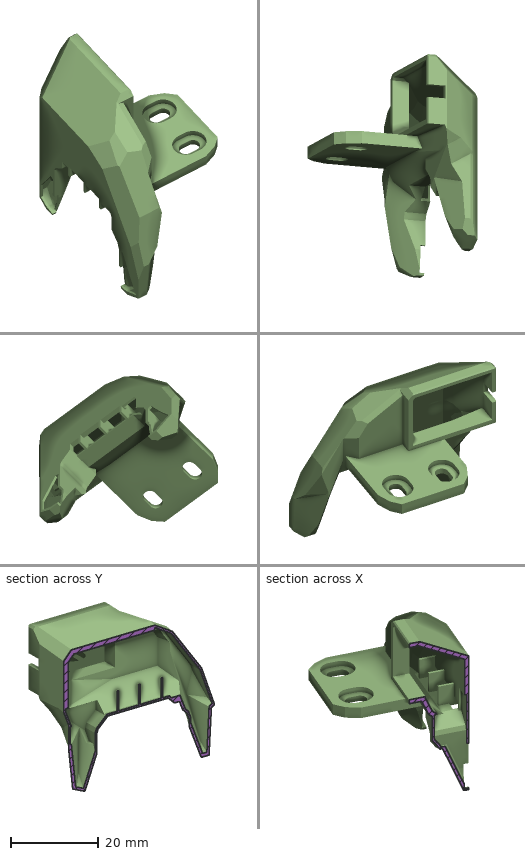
import cadquery as cq


width = 46.1
height = 42.82
block_right = 22.9
block_depth = 14.72
block_floor = 26.45
trunk_depth = 11.9
legs_center = 25.25
leg_depth = 9.12
leg_left = 4.17
trunk_floor = 19.3
hip_bottom = 12.5
rear_chamfer = 0.3
block_wall = 1.2
leg_wall = 0.6

thigh_top = 23.0
calf_top_right = 20.0
arm_start = 28.0
trunk_right = 40.0

flange_left = 13.5
flange_right = 36.45
flange_front = 9.66
flange_rear = 31.1
flange_bottom = 23.65
flange_top = 26.5

slot_centers_x = (18.97, 30.9)
slot_center_y = 24.75
slot_width = 3.2
slot_length = 5.2
seat_width = 6.3
seat_length = 8.2
seat_depth = 1.4

notch_bottom = 32.65
notch_top = 35.6
notch_front = 10.4

floor_rear = 6.4
underside_rear = 11.1
lip_front = 2.4
window_top = 21.7
window_bottom = 18.0
corner_bottom = 16.6
window_left = 15.35
window_right = 35.3
bay_top = 22.4
rib_starts = (17.9, 24.0, 30.3)
rib_thickness = 0.6
rib_depth = 5.0
rib_top = 25.0

relief_top = 6.9
relief_bottom = 0.6
relief_depth = 1.2

CUTTER = 200.0
MARGIN = 5.0


left_wall_top = (0, 12.7, 42.2)
roof_left = (0.6, 12.7, height)
roof_right = (21.5, 10.3, height)
left_rear = (0, 10.03, 39.45)
left_front = (4.1, 2.11, 35.05)
face_left = (6.3, 0, 35.05)
roof_front_left = (7.47, 0, 36.26)
roof_rear_left = (1.39, 12.1, height)
roof_front_right = (25.9, 0, 36.26)
shoulder_front = (31.6, 0, 33.7)
shoulder_mid = (34.1, 3.0, 35.1)
shoulder_top = (28.93, 3.9, 38.3)
shoulder_peak = (28.1, 5.9, 39.46)
shoulder_back = (33.1, 6.1, 36.65)
roof_end = (22.6, 10.3, 41.8)
elbow_front = (42.97, 0, 17.4)
elbow_mid = (41.86, 3.05, 24.35)
elbow_low = (44.04, 1.5, 18.1)
tip_front = (46.1, 0, 9.0)
ridge_left = (23.2, 10.4, 41.45)
ridge_right = (32.8, 10.4, 36.13)
back_right = (32.2, trunk_depth, 35.83)
arm_ridge = (33.76, 9.5, 35.6)
arm_heel = (36.75, 9.2, 31.5)
elbow_rear = (41.86, 8.6, 24.35)
hip_top = (0, 10.03, 25.6)
hip_front = (2.26, 5.65, 24.3)
hip_rear = (2.2, 8.97, 22.4)
hip_low = (leg_left, 2.1, 21.45)
knee_rear = (leg_left, 7.3, 18.4)
calf_top = (leg_left, 4.6, 14.5)
calf_inner = (9.6, 8.8, 16.4)
calf_bottom = (leg_left, 3.9, 6.0)
toe_rear = (4.8, 4.44, 3.7)
toe_outer = (5.2, 2.8, 2.3)
toe_sole = (9.0, 1.9, 0)
arm_rear_top = (42.4, leg_depth, 22.9)
arm_rear_mid = (45.0, 6.0, 15.7)
arm_inner = (40.9, 8.8, 16.4)
arm_calf_top = (width, 2.9, 12.6)
arm_calf_bottom = (width, 2.3, 2.7)
arm_sole = (41.5, 2.2, 0)
arm_back = (34.2, trunk_depth, 33.1)
block_heel = (0, 10.5, block_floor)
flange_heel = (flange_left, trunk_depth, block_floor)


def along_x(a, b):
    """Plane parallel to X through two (y, z) points."""
    return ((0, *a), (1, *a), (0, *b))


def along_y(a, b):
    """Plane parallel to Y through two (x, z) points."""
    return ((a[0], 0, a[1]), (a[0], 1, a[1]), (b[0], 0, b[1]))


def along_z(a, b):
    """Plane parallel to Z through two (x, y) points."""
    return ((*a, 0), (*a, 1), (*b, 0))


left_slant = along_z(left_rear[:2], left_front[:2])
left_bevel = along_z(left_front[:2], face_left[:2])
corner_bevel = (left_rear, left_front, roof_front_left)
roof_slant = (roof_rear_left, roof_front_left, roof_front_right)
front_facets = [
    (roof_front_right, shoulder_front, shoulder_top),
    (shoulder_front, elbow_front, shoulder_mid),
]
shoulder_facets = [
    (shoulder_top, shoulder_peak, shoulder_back),
    (roof_end, shoulder_peak, shoulder_back),
    along_y(shoulder_mid[::2], elbow_mid[::2]),
]
right_inner_rear = ((38.2, 5.6, 13.2), (38.9, 1.1, 0.6), (41.5, 9.1, 13.2))
left_inner_rear = [(2 * legs_center - x, y, z) for x, y, z in right_inner_rear]
trunk_underside = along_x((floor_rear, trunk_floor), (underside_rear, flange_bottom))
leg_left_slant = along_z((leg_left, 2.54), (4.45, 1.85))
calf_rear = (knee_rear, calf_top, hip_rear)
hip_cap = along_x(hip_low[1:], knee_rear[1:])
right_outer_facets = [
    (elbow_front, tip_front, elbow_low),
    along_y(elbow_mid[::2], arm_calf_top[::2]),
]
leg_rear_facets = [
    along_x((leg_depth, 13.8), (8.07, 9.3)),
    along_x((8.07, 9.0), (4.9, 2.2)),
    along_x((4.9, 2.2), (2.2, 0)),
]


def faceted(limits, facets, inside, inset=0.0):
    """Box trimmed by planes, each given by three points; the side holding `inside` stays.

    Every box side and plane is moved inward by `inset`.
    """
    low, high = limits
    size = [b - a - 2 * inset for a, b in zip(low, high)]
    corner = cq.Vector(*low) + cq.Vector(inset, inset, inset)
    body = cq.Workplane(obj=cq.Solid.makeBox(*size, corner))
    for facet in facets:
        p, q, r = (cq.Vector(*point) for point in facet)
        normal = (q - p).cross(r - p).normalized()
        if normal.dot(cq.Vector(*inside) - p) > 0:
            normal = normal * -1
        plane = cq.Plane(origin=p - normal * inset, normal=normal)
        body = body.cut(cq.Workplane(plane).rect(CUTTER, CUTTER).extrude(CUTTER))
    return body


def blower_block(inset=0.0, open_end=0.0):
    """Upper left box that takes the blower; `open_end` lengthens it to the rear."""
    rear = block_depth
    facets = [
        left_slant,
        left_bevel,
        corner_bevel,
        roof_slant,
        along_y(left_wall_top[::2], roof_left[::2]),
        along_y(roof_right[::2], roof_end[::2]),
    ]
    if not open_end:
        facets += [
            along_z((0, rear - rear_chamfer), (rear_chamfer, rear)),
            along_x((rear - rear_chamfer, height), (rear, height - rear_chamfer)),
        ]
    limits = ((0, 0, block_floor), (block_right, rear + open_end, height))
    return faceted(limits, facets, (12, 6, 32), inset)


def trunk(inset=0.0):
    """Slanted passage from the block down to both legs."""
    facets = [left_slant, left_bevel, corner_bevel, roof_slant]
    facets += front_facets + shoulder_facets
    facets += [
        (ridge_left, ridge_right, back_right),
        (ridge_right, arm_ridge, arm_heel),
        along_z(arm_back[:2], arm_heel[:2]),
        (hip_top, hip_front, hip_rear),
        (block_heel, flange_heel, hip_rear),
        trunk_underside,
    ]
    limits = ((0, 0, hip_bottom), (trunk_right, trunk_depth, height))
    return faceted(limits, facets, (20, 5, 28), inset)


def left_hip(inset=0.0):
    """Slanted link between the trunk's left side and the left leg."""
    beside_hip_front = (hip_front[0] + 1, *hip_front[1:])
    facets = [
        left_slant,
        left_bevel,
        (hip_front, hip_rear, beside_hip_front),
        (hip_front, hip_rear, knee_rear),
        calf_rear,
    ]
    limits = ((0, 0, hip_bottom), (window_left, leg_depth, block_floor))
    return faceted(limits, facets, (9, 3, 19), inset)


def left_thigh(inset=0.0):
    """Rear of the left leg, above the calf."""
    facets = [leg_left_slant, left_bevel, hip_cap, calf_rear]
    limits = ((leg_left, 0, hip_bottom), (window_left, leg_depth, thigh_top))
    return faceted(limits, facets, (9, 3, 17), inset)


def left_calf(inset=0.0):
    """Left leg below the hip."""
    facets = [leg_left_slant, left_bevel, hip_cap] + leg_rear_facets
    facets += [
        (calf_top, calf_bottom, calf_inner),
        along_y(calf_bottom[::2], toe_outer[::2]),
        along_y(toe_outer[::2], toe_sole[::2]),
        (toe_rear, toe_outer, toe_sole),
        left_inner_rear,
    ]
    limits = ((leg_left, 0, 0), (window_left, leg_depth, thigh_top))
    return faceted(limits, facets, (9, 3, 10), inset)


def right_arm(inset=0.0):
    """Arm that arches over from the trunk to the right leg."""
    facets = [roof_slant] + front_facets + shoulder_facets + right_outer_facets + leg_rear_facets
    facets += [
        (arm_ridge, elbow_rear, arm_rear_top),
        (arm_rear_top, arm_rear_mid, arm_inner),
        (arm_rear_mid, arm_calf_top, arm_inner),
        right_inner_rear,
    ]
    limits = ((arm_start, 0, 0), (width, leg_depth, height))
    return faceted(limits, facets, (41, 3, 18), inset)


def right_calf(inset=0.0):
    """Right leg below the arm."""
    facets = front_facets[1:] + right_outer_facets + leg_rear_facets
    facets += [
        (arm_inner, arm_calf_top, arm_calf_bottom),
        along_y(arm_sole[::2], arm_calf_bottom[::2]),
        right_inner_rear,
    ]
    limits = ((arm_start, 0, 0), (width, leg_depth, calf_top_right))
    return faceted(limits, facets, (41, 3, 10), inset)


def front_prism(points, depth, start=-1.0):
    """Prism over an XZ outline running from Y = start to Y = depth."""
    outline = cq.Workplane("XZ", origin=(0, start, 0)).polyline(points).close()
    return outline.extrude(start - depth)


def arch_opening(growth=0.0):
    """Space between the legs."""
    points = [
        (11.5, -MARGIN), (11.5, 0), (11.9, 1.6), (12.3, 5.9), (12.3, 15.9), (12.65, 16.8),
        (15.35, trunk_floor), (32.4, trunk_floor), (37.6, 14.2), (38.2, 12.6),
        (38.2, 5.9), (38.7, 1.5), (39.1, 0), (39.1, -MARGIN),
    ]
    outline = cq.Workplane("XZ", origin=(0, -1, 0)).polyline(points).close()
    if growth:
        outline = outline.offset2D(growth, "intersection")
    return outline.extrude(-flange_rear)


def flange():
    """Rear mounting plate with two seated slots."""
    points = [
        (flange_left, flange_front), (flange_left, 25.55), (14.95, 28.9), (17.1, flange_rear),
        (33.15, flange_rear), (35.1, 28.9), (flange_right, 25.55), (flange_right, flange_front),
    ]
    thickness = flange_top - flange_bottom
    return cq.Workplane(origin=(0, 0, flange_bottom)).polyline(points).close().extrude(thickness)


def flange_slots():
    places = [(x, slot_center_y) for x in slot_centers_x]
    top = cq.Workplane(origin=(0, 0, flange_top)).pushPoints(places)
    slots = top.slot2D(slot_length, slot_width, 90).extrude(flange_bottom - flange_top)
    seats = top.slot2D(seat_length, seat_width, 90).extrude(-seat_depth)
    return slots.union(seats)


def side_notch():
    """Slot in the rear edge of the block's left wall."""
    size = (2 * block_wall, block_depth, notch_top - notch_bottom)
    return cq.Workplane(obj=cq.Solid.makeBox(*size, cq.Vector(-block_wall, notch_front, notch_bottom)))


def center_window():
    """Outlet under the front wall, between the legs."""
    points = [
        (window_left, window_bottom), (window_left, window_top), (34.8, window_top),
        (window_right, 20.5), (window_right, corner_bottom), (32.4, corner_bottom),
        (32.4, window_bottom),
    ]
    window = front_prism(points, lip_front)
    bay_left = rib_starts[0]
    bay_right = rib_starts[-1]
    bays = [
        (bay_left, trunk_floor), (bay_left, bay_top), (bay_right, bay_top), (bay_right, trunk_floor),
    ]
    return window.union(front_prism(bays, lip_front))


def ribs():
    """Upright vanes across the centre window."""
    body = None
    for start in rib_starts:
        size = (rib_thickness, rib_depth, rib_top - trunk_floor)
        rib = cq.Workplane(obj=cq.Solid.makeBox(*size, cq.Vector(start, 0, trunk_floor)))
        body = rib if body is None else body.union(rib)
    return body


def leg_outlets():
    """Front outlets at the leg tips, with reliefs in the inner leg walls."""
    left = [(10.9, 12.7), (11.75, 12.4), (11.6, 0.55), (9.2, 0.9), (6.95, 2.1), (6.95, 6.1)]
    right = [(39.75, 12.7), (38.9, 12.4), (39.05, 0.55), (41.3, 0.9), (45.15, 3.1), (42.7, 7.15)]
    cuts = front_prism(left, relief_depth).union(front_prism(right, relief_depth))
    for a, b in ((11.3, 12.6), (37.9, 39.3)):
        relief = [(a, relief_bottom), (b, relief_bottom), (b, relief_top), (a, relief_top)]
        cuts = cuts.union(front_prism(relief, relief_depth))
    return cuts


def legs(inset=0.0):
    left = left_hip(inset).union(left_thigh(inset)).union(left_calf(inset))
    return left.union(right_arm(inset)).union(right_calf(inset))


def outer_body():
    body = blower_block().union(trunk()).union(legs())
    return body.cut(arch_opening()).union(flange())


def air_passage():
    body = trunk(block_wall).union(legs(leg_wall)).cut(arch_opening(leg_wall))
    return body.union(blower_block(block_wall, MARGIN))


result = outer_body().cut(air_passage()).cut(flange_slots()).cut(side_notch())
result = result.cut(center_window()).union(ribs()).cut(leg_outlets())